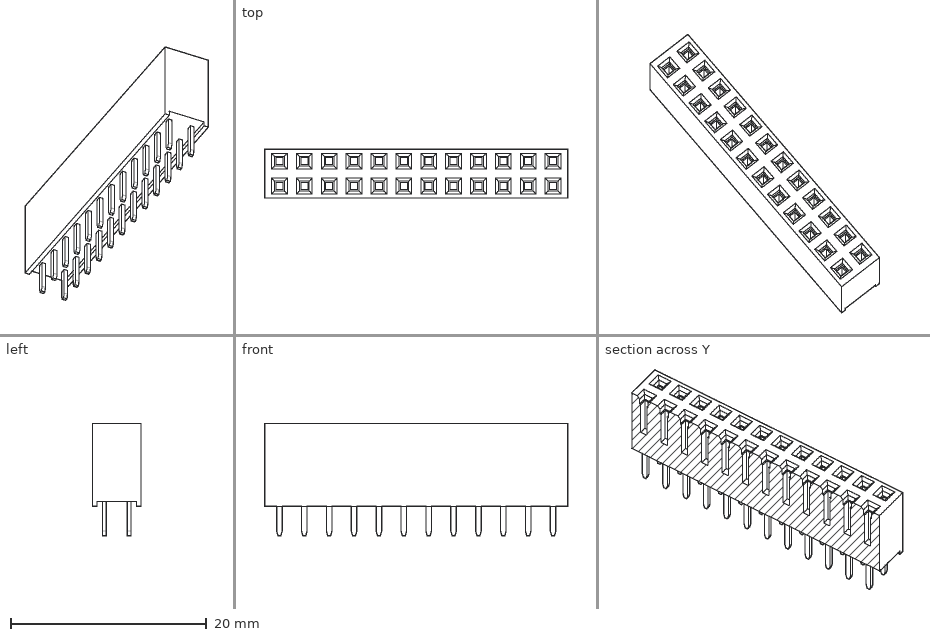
import cadquery as cq

COLUMNS = 12
ROWS = 2
PITCH = 2.55

LENGTH = 30.98
WIDTH = 5.0
HEIGHT = 8.5
SKIRT_HEIGHT = 0.5
SKIRT_THICKNESS = 0.5

MOUTH_SIDE = 1.6
MOUTH_DEPTH = 0.3
BORE_SIDE = 1.0
BORE_DEPTH = 1.0
WELL_SIDE = 0.7
WELL_DEPTH = 5.0

TOTAL_HEIGHT = 11.5
PIN_DROP = TOTAL_HEIGHT - HEIGHT
PIN_WIDTH = 0.6
PIN_THICKNESS = 0.4
TIP_WIDTH = 0.3
TIP_LENGTH = 0.5


def make_housing():
    """Block with a channel along its underside that leaves a skirt on each long side."""
    block = cq.Workplane("XY").box(LENGTH, WIDTH, HEIGHT, centered=(True, True, False))
    channel_width = WIDTH - 2 * SKIRT_THICKNESS
    channel = cq.Workplane("XY").box(LENGTH, channel_width, SKIRT_HEIGHT, centered=(True, True, False))
    return block.cut(channel)


def make_square_hole(side, depth):
    """Square cutter reaching down from the top of the housing."""
    return cq.Workplane("XY").workplane(offset=HEIGHT).rect(side, side).extrude(-depth)


def make_socket():
    """Cutter for one socket, centred on the Z axis."""
    mouth = (
        cq.Workplane("XY")
        .workplane(offset=HEIGHT)
        .rect(MOUTH_SIDE, MOUTH_SIDE)
        .workplane(offset=-MOUTH_DEPTH)
        .rect(BORE_SIDE, BORE_SIDE)
        .loft(ruled=True)
    )
    bore = make_square_hole(BORE_SIDE, BORE_DEPTH)
    well = make_square_hole(WELL_SIDE, WELL_DEPTH)
    return mouth.union(bore).union(well)


def make_pin():
    """One pin, centred on the Z axis and hanging from the channel roof."""
    half_width = PIN_WIDTH / 2
    half_tip = TIP_WIDTH / 2
    shoulder = TIP_LENGTH - PIN_DROP
    outline = [
        (-half_width, SKIRT_HEIGHT),
        (-half_width, shoulder),
        (-half_tip, -PIN_DROP),
        (half_tip, -PIN_DROP),
        (half_width, shoulder),
        (half_width, SKIRT_HEIGHT),
    ]
    return cq.Workplane("XZ").polyline(outline).close().extrude(PIN_THICKNESS / 2, both=True)


def repeat_at_contacts(shape):
    """Copies of a shape at every contact position of the grid."""
    solid = shape.val()
    return (
        cq.Workplane("XY")
        .rarray(PITCH, PITCH, COLUMNS, ROWS)
        .eachpoint(lambda place: solid.moved(place), combine=False)
    )


result = make_housing().cut(repeat_at_contacts(make_socket())).union(repeat_at_contacts(make_pin()))